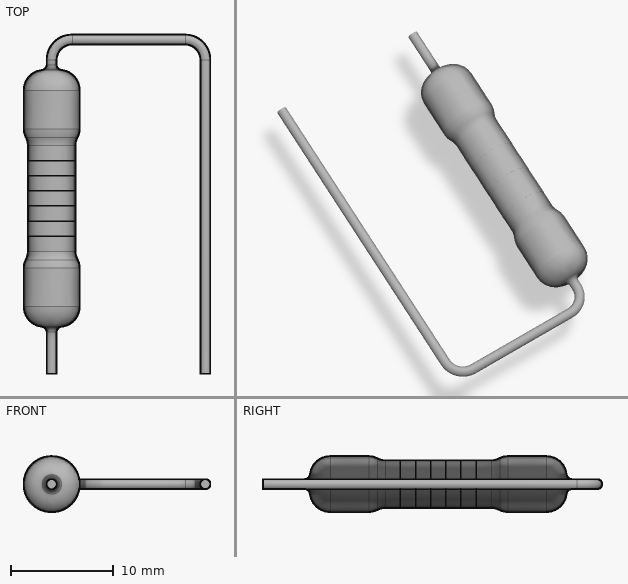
import cadquery as cq
import math

overall_length = 33.1
cap_radius = 5.5 / 2
waist_radius = 4.67 / 2
band_radius = 4.7 / 2
wire_radius = 1 / 2

waist_half = 5.15
flare_length = 1.62
cap_length = 3.75
dome_radius = 2.02
fillet_radius = 0.5

band_segments = 7

lead_spacing = 15.0
bend_radius = 2.0
lead_end_y = -17.1
return_y = lead_end_y + overall_length - wire_radius


def half_body():
    """Revolve the +Y half of the body about the Y axis."""
    cap_start = waist_half + flare_length
    dome_start = cap_start + cap_length
    dome_center_r = cap_radius - dome_radius
    flare_mid = ((waist_radius + cap_radius) / 2, waist_half + flare_length / 2)

    fillet_center_r = wire_radius + fillet_radius
    center_gap = dome_radius + fillet_radius
    lean = math.asin((fillet_center_r - dome_center_r) / center_gap)
    fillet_y = dome_start + center_gap * math.cos(lean)
    dome_end = (
        dome_center_r + dome_radius * math.sin(lean),
        dome_start + dome_radius * math.cos(lean),
    )
    return (
        cq.Workplane("XY")
        .lineTo(waist_radius, 0)
        .lineTo(waist_radius, waist_half)
        .tangentArcPoint(flare_mid, relative=False)
        .tangentArcPoint((cap_radius, cap_start), relative=False)
        .lineTo(cap_radius, dome_start)
        .tangentArcPoint(dome_end, relative=False)
        .tangentArcPoint((wire_radius, fillet_y), relative=False)
        .lineTo(0, fillet_y)
        .close()
        .revolve(360, (0, 0, 0), (0, 1, 0))
    )


def raised_bands():
    """Colour bands standing slightly proud of the waist."""
    width = 2 * waist_half / band_segments
    bands = []
    for index in range(1, band_segments, 2):
        start_y = -waist_half + index * width
        band = cq.Workplane("XZ", origin=(0, start_y, 0)).circle(band_radius).extrude(-width)
        bands.append(band)
    return bands


def wire():
    """One wire through the body, folded back alongside it."""
    path = (
        cq.Workplane("XY")
        .moveTo(0, lead_end_y)
        .lineTo(0, return_y - bend_radius)
        .tangentArcPoint((bend_radius, return_y), relative=False)
        .lineTo(lead_spacing - bend_radius, return_y)
        .tangentArcPoint((lead_spacing, return_y - bend_radius), relative=False)
        .lineTo(lead_spacing, lead_end_y)
    )
    return cq.Workplane("XZ", origin=(0, lead_end_y, 0)).circle(wire_radius).sweep(path)


upper_half = half_body()
result = upper_half.union(upper_half.mirror("XZ"))
for band in raised_bands():
    result = result.union(band)
result = result.union(wire()).clean()